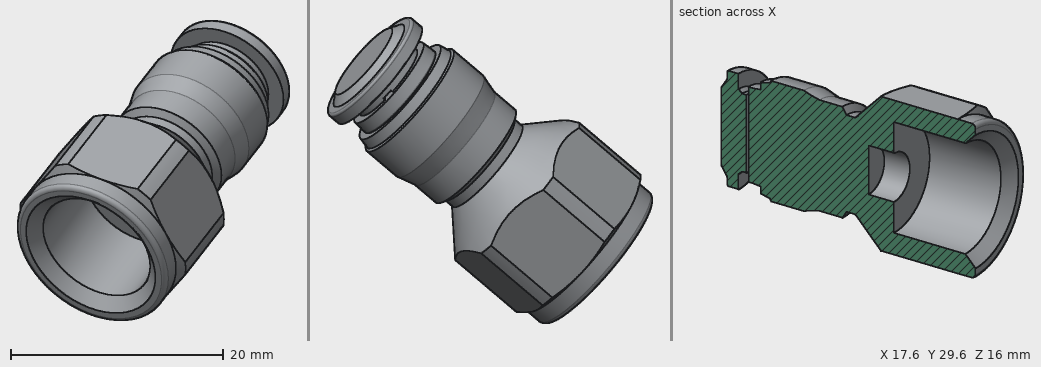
import cadquery as cq

length = 29.6

across_flats = 16.0
flat_radius = across_flats / 2
corner_radius = 8.82
corner_turn = 30.0
nut_collar_length = 2.05
collar_fillet = 0.47
corner_chamfer_height = 0.4

waist_radius = 5.03
waist_start = 14.0
shoulder_end = waist_start - (corner_radius - waist_radius)
waist_end = 15.0
sleeve_radius = 5.77
sleeve_start = 15.48
sleeve_end = 18.17
barrel_radius = 6.28
barrel_start = 20.0
barrel_end = 23.8
cap_base_radius = 6.0
cap_base = 23.95
cap_end = 25.0
guide_base_radius = 5.03
guide_end_radius = 4.95
guide_taper_start = 25.15
guide_end = 26.43

neck_radius = 4.05
neck_end = 27.15
neck_flare_radius = 4.4
flange_radius = 6.0
flange_start = 27.55
flange_end = 28.95
flange_fillet = 0.27
tip_base_radius = 5.03
tip_radius = 4.05
slot_width = 1.07
slot_height = 0.2

bore_radius = 5.7
bore_depth = 9.47
mouth_radius = 6.9
mouth_depth = mouth_radius - bore_radius
passage_radius = 2.52
passage_depth = 2.95


def revolve_about_y(points):
    """Solid of revolution from (radius, y) points, closed along the axis."""
    outline = [(0, points[0][1])] + points + [(0, points[-1][1])]
    return cq.Workplane("XY").polyline(outline).close().revolve(360, (0, 0), (0, 1))


def make_nut():
    """Hexagon with chamfered corners, plus the round collar at its face."""
    turned = revolve_about_y([
        (flat_radius, nut_collar_length),
        (corner_radius, nut_collar_length + corner_chamfer_height),
        (corner_radius, shoulder_end),
        (waist_radius, waist_start),
    ])
    hexagon = (
        cq.Workplane("XZ")
        .polygon(6, across_flats, circumscribed=True)
        .extrude(-waist_start)
        .rotate((0, 0, 0), (0, 1, 0), corner_turn)
    )
    collar = (
        revolve_about_y([(flat_radius, 0), (flat_radius, nut_collar_length)])
        .faces("<Y").edges().fillet(collar_fillet)
    )
    return turned.intersect(hexagon).union(collar)


def make_body():
    """Stepped turned body behind the nut."""
    return revolve_about_y([
        (waist_radius, waist_start),
        (waist_radius, waist_end),
        (sleeve_radius, sleeve_start),
        (sleeve_radius, sleeve_end),
        (barrel_radius, barrel_start),
        (barrel_radius, barrel_end),
        (cap_base_radius, cap_base),
        (sleeve_radius, cap_end),
        (guide_base_radius, cap_end),
        (guide_base_radius, guide_taper_start),
        (guide_end_radius, guide_end),
    ])


def make_release_collar():
    """Neck, flange and conical tip, with a narrow slot across the neck."""
    neck = revolve_about_y([
        (neck_radius, guide_end),
        (neck_radius, neck_end),
        (neck_flare_radius, flange_start),
    ])
    flange = (
        revolve_about_y([(flange_radius, flange_start), (flange_radius, flange_end)])
        .faces(">Y").edges().fillet(flange_fillet)
    )
    tip = revolve_about_y([(tip_base_radius, flange_end), (tip_radius, length)])
    slot = cq.Workplane("XY").box(slot_width, slot_height, 2 * neck_radius)
    slot = slot.translate((0, guide_end + slot_height / 2, 0))
    return neck.cut(slot).union(flange).union(tip)


def make_openings():
    """Countersunk blind bore with a smaller blind passage in its floor."""
    return revolve_about_y([
        (mouth_radius, 0),
        (bore_radius, mouth_depth),
        (bore_radius, bore_depth),
        (passage_radius, bore_depth),
        (passage_radius, bore_depth + passage_depth),
    ])


result = make_nut().union(make_body()).union(make_release_collar()).cut(make_openings())